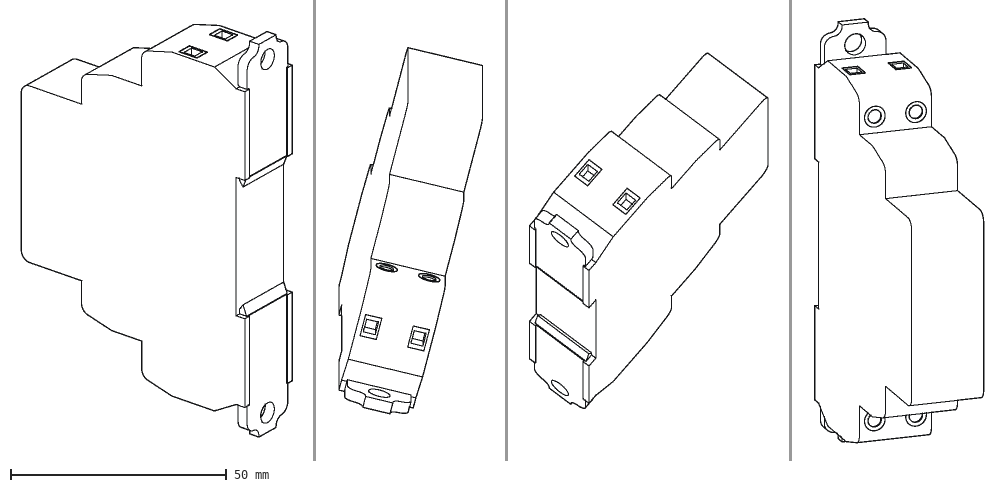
import cadquery as cq
import math


depth = 66.0
width = 17.8
height = 101.6

step_depth = 17.8
middle_face_x = step_depth
rear_face_x = 2 * step_depth
front_half_height = 22.9
middle_half_height = 33.0
rear_half_height = 44.5
corner_radius = 2.5
slope_run = 8.9
slope_angle = math.radians(15)
rear_top_end_x = 57.1
shoulder_half_height = 40.8

rail_face_x = 63.5
rail_half_height = 17.9

clip_front_x = 63.0
clip_thickness = 2.7
clip_back_x = clip_front_x + clip_thickness
lug_width = 15.2
lug_tip_width = 6.5
lug_corner_radius = 2.5
lug_neck_radius = 2.1
lug_hole_diameter = 5.1
lug_hole_z = height / 2 - 2 * lug_corner_radius
lug_overlap = 1.0
foot_width = 14.2
barb_back_x = 65.5
barb_tip_x = 64.5
barb_tip_z = 15.2
barb_base_z = 17.3

terminal_offset_y = 5.1
wire_offset_y = 5.7
wire_x = 48.3
wire_frame_size = (5.3, 3.9)
wire_hole_size = (3.1, 2.8)
wire_hole_depth = 4.1
screw_z = 37.0
screw_frame_diameter = 5.1
screw_head_diameter = 3.3
frame_depth = 0.1
screw_depth = 0.5


def step_corner(outline, face_x, top_z):
    """Go up a step's face, round its corner and follow its slope to the flat top."""
    slope_end_x = face_x + slope_run
    arc_center_x = face_x + corner_radius
    arc_end_x = arc_center_x - corner_radius * math.sin(slope_angle)
    arc_end_z = top_z - (slope_end_x - arc_end_x) * math.tan(slope_angle)
    arc_center_z = arc_end_z - corner_radius * math.cos(slope_angle)
    return (
        outline.lineTo(face_x, arc_center_z)
        .radiusArc((arc_end_x, arc_end_z), corner_radius)
        .lineTo(slope_end_x, top_z)
    )


def upper_housing():
    """Upper half of the housing, from Z = 0 up."""
    outline = cq.Workplane("XZ").moveTo(0, 0)
    outline = outline.lineTo(0, front_half_height - corner_radius)
    outline = outline.radiusArc((corner_radius, front_half_height), corner_radius)
    outline = outline.lineTo(middle_face_x, front_half_height)
    outline = step_corner(outline, middle_face_x, middle_half_height).lineTo(rear_face_x, middle_half_height)
    outline = step_corner(outline, rear_face_x, rear_half_height).lineTo(rear_top_end_x, rear_half_height)
    outline = (
        outline.lineTo(rail_face_x, shoulder_half_height)
        .lineTo(depth, shoulder_half_height)
        .lineTo(depth, rail_half_height)
        .lineTo(rail_face_x, rail_half_height)
        .lineTo(rail_face_x, 0)
        .close()
    )
    return outline.extrude(width / 2, both=True)


def foot_recess():
    """Shallow channel that leaves the clip's foot just below the back face."""
    return (
        cq.Workplane("YZ", origin=(clip_back_x, 0, 0))
        .moveTo(-foot_width / 2, rail_half_height)
        .lineTo(foot_width / 2, rail_half_height)
        .lineTo(foot_width / 2, shoulder_half_height)
        .lineTo(-foot_width / 2, shoulder_half_height)
        .close()
        .extrude(depth - clip_back_x)
    )


def lug():
    """Ear with S-curved shoulders and a mounting hole."""
    half_width = lug_width / 2
    half_tip = lug_tip_width / 2
    radius = lug_corner_radius
    tip_z = height / 2
    waist_y = half_tip + lug_neck_radius
    waist_z = tip_z - radius
    neck_z = waist_z + lug_neck_radius
    root_z = shoulder_half_height - lug_overlap
    plate = (
        cq.Workplane("YZ", origin=(clip_front_x, 0, 0))
        .moveTo(-half_width, root_z)
        .lineTo(-half_width, waist_z - radius)
        .radiusArc((-waist_y, waist_z), radius)
        .radiusArc((-half_tip, neck_z), -lug_neck_radius)
        .lineTo(-half_tip, tip_z)
        .lineTo(half_tip, tip_z)
        .lineTo(half_tip, neck_z)
        .radiusArc((waist_y, waist_z), -lug_neck_radius)
        .radiusArc((half_width, waist_z - radius), radius)
        .lineTo(half_width, root_z)
        .close()
        .extrude(clip_thickness)
    )
    hole = (
        cq.Workplane("YZ", origin=(clip_front_x, 0, 0))
        .center(0, lug_hole_z)
        .circle(lug_hole_diameter / 2)
        .extrude(clip_thickness)
    )
    return plate.cut(hole)


def barb():
    """Pointed end of the clip, as wide as the lug, that hooks over the rail edge."""
    return (
        cq.Workplane("XZ")
        .moveTo(clip_front_x, rail_half_height)
        .lineTo(clip_front_x, barb_base_z)
        .lineTo(barb_tip_x, barb_tip_z)
        .lineTo(barb_back_x, rail_half_height)
        .close()
        .extrude(lug_width / 2, both=True)
    )


def wire_entry(side):
    """Framed rectangular wire hole in the flat top."""
    top = cq.Workplane("XY", origin=(wire_x, side * wire_offset_y, rear_half_height))
    frame = top.rect(*wire_frame_size).extrude(-frame_depth)
    hole = top.rect(*wire_hole_size).extrude(-wire_hole_depth)
    return frame.union(hole)


def screw_recess(side):
    """Stepped round recess for a terminal screw in the rear step's face."""
    face = cq.Workplane("YZ", origin=(rear_face_x, side * terminal_offset_y, screw_z))
    frame = face.circle(screw_frame_diameter / 2).extrude(frame_depth)
    head = face.circle(screw_head_diameter / 2).extrude(screw_depth)
    return frame.union(head)


upper_half = upper_housing().cut(foot_recess()).union(lug()).union(barb())
for side in (-1, 1):
    upper_half = upper_half.cut(wire_entry(side)).cut(screw_recess(side))

result = upper_half.union(upper_half.mirror("XY"))